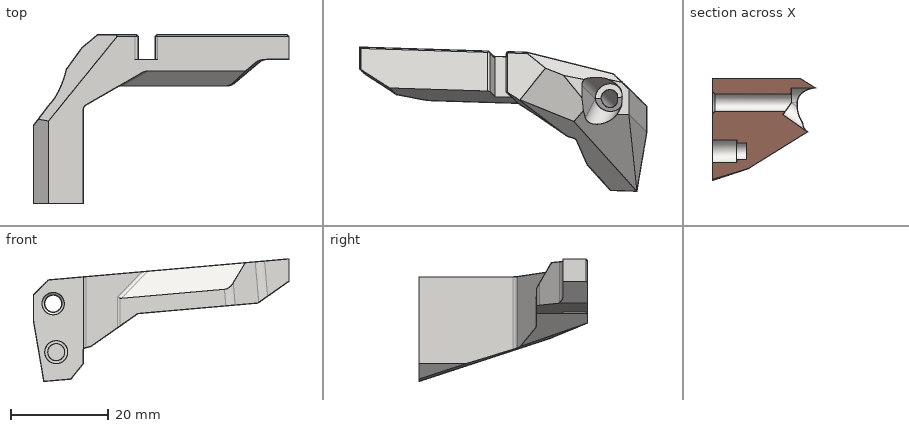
import cadquery as cq
import math

LENGTH = 52.64
DEPTH = 34.8
HEIGHT = 25.29
TILT_ANGLE = 5.0
TILT_SLOPE = math.tan(math.radians(TILT_ANGLE))
EDGE_BREAK = 0.4
REACH = 100.0


def top_z(x):
    """Height of the tilted top face at x."""
    return HEIGHT - (LENGTH - x) * TILT_SLOPE


LEG_WIDTH = 10.3
LEG_TOP_CORNER_X = 3.1
LEG_SIDE_TOP_Z = 17.9
LEG_SIDE_LOW_Z = 12.4
LEG_FOOT_X = 2.12
LEG_TOE_X = 7.72
LEG_TOE_Z = (LEG_TOE_X - LEG_FOOT_X) * TILT_SLOPE
LEG_TOE_TOP_Z = 3.73

RAMP_ANGLE = 35.0
RAMP_SLOPE = math.tan(math.radians(RAMP_ANGLE))
RAMP_TOP_X = 21.5
TIP_RAMP_X = 46.2
TIP_LOW_Z = 20.65
BAR_LOW_Z = TIP_LOW_Z - (LENGTH - TIP_RAMP_X) * RAMP_SLOPE
RAMP_TOP_Z = BAR_LOW_Z - (TIP_RAMP_X - RAMP_TOP_X) * TILT_SLOPE
RAMP_FOOT_Z = RAMP_TOP_Z - (RAMP_TOP_X - LEG_WIDTH) * RAMP_SLOPE

INNER_CORNER_Y = 20.0
WALL_ANGLE = 30.0
WALL_SLOPE = math.tan(math.radians(WALL_ANGLE))
BAR_FRONT_Y = 24.2
BAR_FRONT_X = LEG_WIDTH + (BAR_FRONT_Y - INNER_CORNER_Y) / WALL_SLOPE
INNER_RADIUS = 1.0

BEVEL_TOP_Y = 27.3
BEVEL_RUN = BEVEL_TOP_Y - BAR_FRONT_Y
BEVEL_DROP = 5.1

TIP_FRONT_Y = 29.7
TIP_SLANT_X = 46.5
TIP_SLANT_ANGLE = 40.0
TIP_SLANT_SLOPE = math.tan(math.radians(TIP_SLANT_ANGLE))
TIP_RADIUS = 3.0

ELBOW_START_Y = 16.1
ELBOW_INNER_WALL = [(0, ELBOW_START_Y), (4.15, 21.6)]
ELBOW_OUTER_WALL = [(6.2, 26.9), (11.93, DEPTH)]

FOOT = (LEG_FOOT_X, 0, 0)
TOE = (LEG_TOE_X, 0, LEG_TOE_Z)
LEG_SIDE_END = (0, ELBOW_START_Y, LEG_SIDE_LOW_Z)
KEEL = (9.2, 27.46, 9.0)
POCKET_CORNER = (7.07, 26.78, 11.0)
BACK_UPPER = (13.1, DEPTH, 18.6)
BACK_LOWER = (18.7, DEPTH, 11.9)
SHOULDER_FRONT = (3.1, 17.0, top_z(3.1))
SHOULDER_BACK = (17.2, DEPTH - EDGE_BREAK, top_z(17.2))
SHOULDER_LOW = (1.04, 17.6, 18.8)

NOTCH_X0 = 21.6
NOTCH_X1 = 25.05
NOTCH_FLOOR_Y = TIP_FRONT_Y
NOTCH_MID_Y = (DEPTH + NOTCH_FLOOR_Y) / 2
NOTCH_RADIUS = 0.6

SCREW_X = 4.07
SCREW_Z = 16.05
SCREW_DIAMETER = 3.5
SCREW_SINK_DIAMETER = 4.6
SINK_SLOPE = math.tan(math.radians(45))
POCKET_RADIUS = 3.0
POCKET_Y = 16.3
POCKET_SWING = 35.0

BLIND_X = 4.69
BLIND_Z = 6.06
BLIND_DIAMETER = 4.75
BLIND_DEPTH = 5.0
BLIND_CORE_DIAMETER = 3.5
BLIND_CORE_DEPTH = 7.0


def cut_plane(body, p, q, r, inside):
    """Remove everything on the far side of the plane p-q-r from the point inside."""
    p, q, r, inside = (cq.Vector(*v) for v in (p, q, r, inside))
    normal = (q - p).cross(r - p)
    if normal.dot(inside - p) > 0:
        normal = -normal
    tool = cq.Workplane(cq.Plane(p, (q - p), normal)).rect(2 * REACH, 2 * REACH).extrude(REACH)
    return body.cut(tool)


def along_y(x, z, y=0.0):
    """Workplane at (x, y, z) whose normal is +Y."""
    return cq.Workplane(cq.Plane((x, y, z), (-1, 0, 0), (0, 1, 0)))


def side_profile():
    """Outline seen along Y, through the full depth."""
    outline = [
        (LEG_TOP_CORNER_X, top_z(LEG_TOP_CORNER_X)),
        (0, LEG_SIDE_TOP_Z),
        (0, LEG_SIDE_LOW_Z),
        (LEG_FOOT_X, 0),
        (LEG_TOE_X, LEG_TOE_Z),
        (LEG_WIDTH, LEG_TOE_TOP_Z),
        (LEG_WIDTH, RAMP_FOOT_Z),
        (RAMP_TOP_X, RAMP_TOP_Z),
        (TIP_RAMP_X, BAR_LOW_Z),
        (LENGTH, TIP_LOW_Z),
        (LENGTH, HEIGHT),
    ]
    return cq.Workplane("XZ").polyline(outline).close().extrude(-DEPTH)


def plan_outline():
    """Outer outline seen along Z, with the chamfered back corner of the tip."""
    outline = [
        (0, 0),
        (LENGTH, 0),
        (LENGTH, DEPTH - EDGE_BREAK),
        (LENGTH - EDGE_BREAK, DEPTH),
        *reversed(ELBOW_OUTER_WALL),
        *reversed(ELBOW_INNER_WALL),
    ]
    return cq.Workplane("XY").polyline(outline).close().extrude(HEIGHT)


def rounded_edges(body, points, radius):
    """Round the edge nearest to each of the given points."""
    edges = body.edges().vals()
    vertices = [cq.Vertex.makeVertex(*point) for point in points]
    nearest = [min(edges, key=vertex.distance) for vertex in vertices]
    return body.newObject(nearest).fillet(radius)


def cut_front(body):
    """Open the inside of the elbow: leg side, slanted wall, bar front and its bevel."""
    beyond_wall = (
        cq.Workplane("XY")
        .polyline([
            (LEG_WIDTH, -REACH),
            (LEG_WIDTH, INNER_CORNER_Y),
            (LEG_WIDTH + REACH, INNER_CORNER_Y + REACH * WALL_SLOPE),
            (LEG_WIDTH + REACH, -REACH),
        ])
        .close()
        .extrude(2 * REACH, both=True)
    )
    bar_front = (
        cq.Workplane("YZ")
        .polyline([
            (BEVEL_TOP_Y, 0),
            (BAR_FRONT_Y, -BEVEL_DROP),
            (BAR_FRONT_Y, -REACH),
            (-REACH, -REACH),
            (-REACH, REACH),
            (BEVEL_TOP_Y + REACH * BEVEL_RUN / BEVEL_DROP, REACH),
        ])
        .close()
        .extrude(2 * REACH, both=True)
        .rotate((0, 0, 0), (0, 1, 0), -TILT_ANGLE)
        .translate((0, 0, top_z(0)))
    )
    opening = beyond_wall.intersect(bar_front)
    low_z = top_z(BAR_FRONT_X) - 2 * BEVEL_DROP
    high_y = (BAR_FRONT_Y + BEVEL_TOP_Y) / 2
    high_x = LEG_WIDTH + (high_y - INNER_CORNER_Y) / WALL_SLOPE
    inner_corners = [
        (LEG_WIDTH, INNER_CORNER_Y, 0),
        (BAR_FRONT_X, BAR_FRONT_Y, low_z),
        (high_x, high_y, top_z(high_x) - BEVEL_DROP / 2),
    ]
    opening = rounded_edges(opening, inner_corners, INNER_RADIUS)
    return body.cut(opening)


def narrow_tip(body):
    """Cut the slanted relief at the tip, square to the tilted top face."""
    slant_run = TIP_FRONT_Y / TIP_SLANT_SLOPE
    plane = cq.Plane(
        (TIP_SLANT_X, TIP_FRONT_Y, top_z(TIP_SLANT_X)),
        (math.cos(math.radians(TILT_ANGLE)), 0, math.sin(math.radians(TILT_ANGLE))),
        (-math.sin(math.radians(TILT_ANGLE)), 0, math.cos(math.radians(TILT_ANGLE))),
    )
    relief = (
        cq.Workplane(plane)
        .polyline([(0, 0), (-slant_run, -TIP_FRONT_Y), (REACH, -TIP_FRONT_Y), (REACH, 0)])
        .close()
        .extrude(REACH, both=True)
    )
    relief = rounded_edges(relief, [(TIP_SLANT_X, TIP_FRONT_Y, top_z(TIP_SLANT_X))], TIP_RADIUS)
    body = body.cut(relief)
    bend_x = TIP_SLANT_X - (TIP_FRONT_Y - BAR_FRONT_Y) / TIP_SLANT_SLOPE
    bend_drop = (BEVEL_DROP + top_z(RAMP_TOP_X) - RAMP_TOP_Z) / 2
    bend = (bend_x + bend_drop * TILT_SLOPE, BAR_FRONT_Y, top_z(bend_x) - bend_drop)
    return rounded_edges(body, [bend], TIP_RADIUS)


def cut_notch(body):
    """Cut the notch in the back edge and round its two upper side edges."""
    notch = (
        cq.Workplane("XY")
        .box(NOTCH_X1 - NOTCH_X0, DEPTH - NOTCH_FLOOR_Y, REACH)
        .translate(((NOTCH_X0 + NOTCH_X1) / 2, NOTCH_MID_Y, 0))
    )
    top_edges = [(x, NOTCH_MID_Y, top_z(x)) for x in (NOTCH_X0, NOTCH_X1)]
    return rounded_edges(body.cut(notch), top_edges, NOTCH_RADIUS)


def break_back_edges(body):
    """Chamfer the back edge of the top face and the back corners of the notch."""
    bevel = (
        cq.Workplane("YZ")
        .polyline([
            (DEPTH - EDGE_BREAK, 0),
            (DEPTH, -EDGE_BREAK),
            (DEPTH, REACH),
            (DEPTH - EDGE_BREAK, REACH),
        ])
        .close()
        .extrude(REACH, both=True)
        .rotate((0, 0, 0), (0, 1, 0), -TILT_ANGLE)
        .translate((0, 0, top_z(0)))
    )
    for x, side in ((NOTCH_X0, -1), (NOTCH_X1, 1)):
        corner = (
            cq.Workplane("XY")
            .polyline([
                (x, DEPTH - EDGE_BREAK),
                (x + side * EDGE_BREAK, DEPTH),
                (x, DEPTH),
            ])
            .close()
            .extrude(HEIGHT)
        )
        body = body.cut(corner)
    return body.cut(bevel)


def screw_pocket():
    """Clearance behind the screw hole, swinging down from its axis."""
    bore = along_y(SCREW_X, SCREW_Z, POCKET_Y).circle(POCKET_RADIUS).extrude(DEPTH)
    pivot = (SCREW_X, POCKET_Y, SCREW_Z)
    swung = bore.rotate(pivot, (SCREW_X + 1, POCKET_Y, SCREW_Z), -POCKET_SWING)
    drop = DEPTH * math.tan(math.radians(POCKET_SWING))
    sector = (
        cq.Workplane("YZ", origin=pivot)
        .polyline([(0, 0), (DEPTH, 0), (DEPTH, -drop)])
        .close()
        .extrude(POCKET_RADIUS, both=True)
    )
    return bore.union(swung).union(sector)


def round_hole(x, z, diameter, depth):
    return along_y(x, z).circle(diameter / 2).extrude(depth)


def cut_screw_hole(body):
    """Countersunk hole through the leg into the pocket behind it."""
    sink_depth = (SCREW_SINK_DIAMETER - SCREW_DIAMETER) / 2 / SINK_SLOPE
    sink = cq.Solid.makeCone(
        SCREW_SINK_DIAMETER / 2,
        SCREW_DIAMETER / 2,
        sink_depth,
        cq.Vector(SCREW_X, 0, SCREW_Z),
        cq.Vector(0, 1, 0),
    )
    body = body.cut(screw_pocket())
    body = body.cut(round_hole(SCREW_X, SCREW_Z, SCREW_DIAMETER, DEPTH))
    return body.cut(cq.Workplane(sink))


def cut_blind_hole(body):
    """Stepped blind hole in the foot of the leg."""
    body = body.cut(round_hole(BLIND_X, BLIND_Z, BLIND_DIAMETER, BLIND_DEPTH))
    return body.cut(round_hole(BLIND_X, BLIND_Z, BLIND_CORE_DIAMETER, BLIND_CORE_DEPTH))


core = (LEG_WIDTH / 2, INNER_CORNER_Y, SCREW_Z)
body = side_profile().intersect(plan_outline())
body = cut_plane(body, FOOT, TOE, KEEL, core)
body = cut_plane(body, FOOT, LEG_SIDE_END, POCKET_CORNER, core)
body = cut_plane(body, POCKET_CORNER, BACK_UPPER, BACK_LOWER, core)
body = cut_front(body)
body = narrow_tip(body)
body = cut_notch(body)
body = break_back_edges(body)
body = cut_plane(body, SHOULDER_FRONT, SHOULDER_BACK, SHOULDER_LOW, core)
body = cut_screw_hole(body)
result = cut_blind_hole(body)